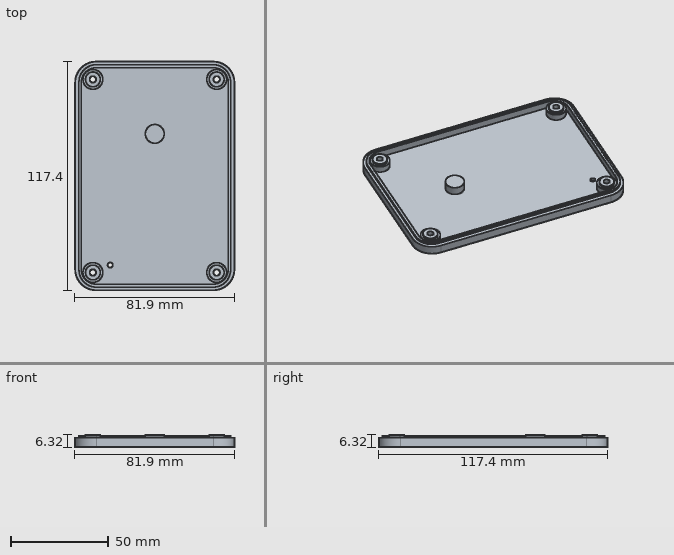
import cadquery as cq

LENGTH_X = 81.86
LENGTH_Y = 117.42
CORNER_RADIUS = 10.92
RIM_HEIGHT = 4.8
FLOOR_THICKNESS = 1.78

LIP_INSET_X = 2.03
LIP_INSET_Y = 1.65
LIP_HEIGHT = 5.82
POCKET_INSET = 3.2
LIP_CORNER_RADIUS = CORNER_RADIUS - LIP_INSET_X
POCKET_CORNER_RADIUS = CORNER_RADIUS - POCKET_INSET

BOSS_X = 31.75
BOSS_Y = 49.53
BOSS_DIAMETER = 10.16
BOSS_SHOULDER_HEIGHT = 5.3
SPIGOT_DIAMETER = 7.62
TOP_HEIGHT = 6.32
SCREW_HOLE_DIAMETER = 3.2

POST_DIAMETER = 9.65
POST_Y = 21.59
FLOOR_HOLE_DIAMETER = 2.54
FLOOR_HOLE_CENTER = (-22.86, -45.72)


def rounded_block(inset_x, inset_y, radius, bottom, top):
    """Round-cornered block, inset from the plate outline, between two heights."""
    return (
        cq.Workplane("XY")
        .workplane(offset=bottom)
        .rect(LENGTH_X - 2 * inset_x, LENGTH_Y - 2 * inset_y)
        .extrude(top - bottom)
        .edges("|Z")
        .fillet(radius)
    )


def cylinders(centers, diameter, top):
    """Upright cylinders from the underside of the plate up to the given height."""
    return cq.Workplane("XY").pushPoints(centers).circle(diameter / 2).extrude(top)


def tray():
    """Rim and lip with the pocket hollowed out down to the floor."""
    rim = rounded_block(0, 0, CORNER_RADIUS, 0, RIM_HEIGHT)
    lip = rounded_block(LIP_INSET_X, LIP_INSET_Y, LIP_CORNER_RADIUS, 0, LIP_HEIGHT)
    pocket = rounded_block(
        POCKET_INSET, POCKET_INSET, POCKET_CORNER_RADIUS, FLOOR_THICKNESS, LIP_HEIGHT
    )
    return rim.union(lip).cut(pocket)


boss_centers = [(x, y) for x in (-BOSS_X, BOSS_X) for y in (-BOSS_Y, BOSS_Y)]

shoulders = cylinders(boss_centers, BOSS_DIAMETER, BOSS_SHOULDER_HEIGHT)
spigots = cylinders(boss_centers, SPIGOT_DIAMETER, TOP_HEIGHT)
post = cylinders([(0, POST_Y)], POST_DIAMETER, TOP_HEIGHT)

screw_holes = cylinders(boss_centers, SCREW_HOLE_DIAMETER, TOP_HEIGHT)
floor_hole = cylinders([FLOOR_HOLE_CENTER], FLOOR_HOLE_DIAMETER, TOP_HEIGHT)

result = tray().union(shoulders).union(spigots).union(post).cut(screw_holes).cut(floor_hole)